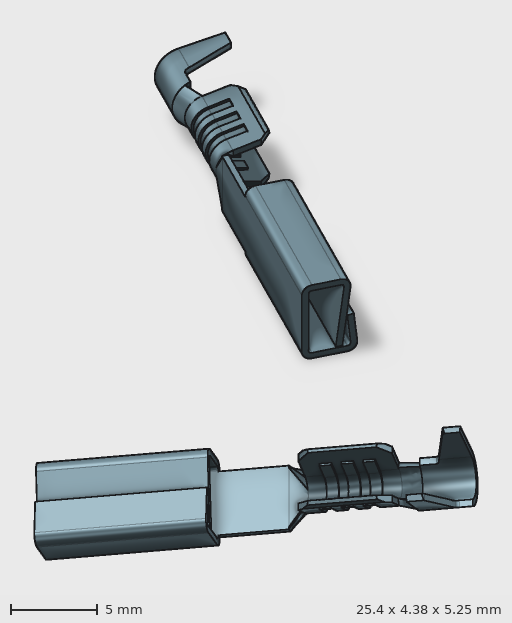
import cadquery as cq
import math

SHEET = 0.4

INSULATION_END = 3.18
WIRE_START = 4.32
WIRE_END = 9.88
PLATE_START = 11.02
BOX_START = 15.21
LENGTH = 25.4

INSULATION_RADIUS = 1.73
INSULATION_BACK = -0.38
INSULATION_CENTRE = INSULATION_BACK + INSULATION_RADIUS
INSULATION_LEAN = 9.5
INSULATION_TOP = 4.0
UPPER_TIP_WIDTH = 1.02
UPPER_ROOT_WIDTH = 2.05
UPPER_TROUGH_TOP = 0.74
LOWER_TIP_WIDTH = 1.0
LOWER_ROOT_WIDTH = 2.24
LOWER_TROUGH_TOP = 0.85
TAPER_FILLET = 0.2

WIRE_RADIUS = 1.35
WIRE_CENTRE = WIRE_RADIUS
WIRE_LEAN = 13.0
WIRE_TOP = 3.53
WING_CORNER = 0.75
BEVEL_LENGTH = 0.33
BEVEL_DEPTH = 0.15
GROOVE_COUNT = 3
GROOVE_FIRST = 5.44
GROOVE_WIDTH = 0.7
GROOVE_PITCH = 1.3
GROOVE_DEPTH = 0.15
GROOVE_TOP = 2.35

NECK_LOW_OUTER_TOP = 0.4
NECK_LOW_INNER_TOP = 0.65
NECK_HIGH_OUTER_TOP = 1.07
NECK_HIGH_INNER_TOP = 1.32
TRANSITION_TOP = 1.07
PLATE_HALF_WIDTH = 1.95
FACET_ARC_HALF_WIDTH = 0.35
FACET_CORNER = 0.13

BOX_HALF_WIDTH = 5.25 / 2
BEND_RADIUS = 0.6
INNER_FLAP_BEND = 2.35
INNER_FLAP_LEAN = 7.0
INNER_FLAP_END = -2.15
OUTER_FLAP_BEND = 2.77
OUTER_FLAP_LEAN = 6.0
OUTER_FLAP_END = 0.0


def cross_section(x):
    """Workplane across the part at x; its local axes are Y and Z."""
    return cq.Workplane("YZ", origin=(x, 0, 0))


def mirror_z(point):
    return (point[0], -point[1])


def u_channel(x_start, x_end, centre, radius, thickness, lean, top, bevel=(0, 0)):
    """U-shaped channel whose straight wings lean outward and end square at height top.

    bevel holds the length and depth taken off the outer face of each wing tip.
    """
    sin_lean = math.sin(math.radians(lean))
    cos_lean = math.cos(math.radians(lean))
    inner_radius = radius - thickness
    wing_length = (top - centre + inner_radius * sin_lean) / cos_lean
    bevel_length, bevel_depth = bevel

    def wing_point(along, depth):
        reach = radius - depth
        return (
            centre - reach * sin_lean + along * cos_lean,
            reach * cos_lean + along * sin_lean,
        )

    outer_root = wing_point(0, 0)
    outer_shoulder = wing_point(wing_length - bevel_length, 0)
    outer_tip = wing_point(wing_length, bevel_depth)
    inner_tip = wing_point(wing_length, thickness)
    inner_root = wing_point(0, thickness)

    outline = cross_section(x_start).moveTo(*outer_root)
    outline = outline.threePointArc((centre - radius, 0), mirror_z(outer_root))
    outline = outline.lineTo(*mirror_z(outer_shoulder))
    if bevel_depth > 0:
        outline = outline.lineTo(*mirror_z(outer_tip))
    outline = outline.lineTo(*mirror_z(inner_tip)).lineTo(*mirror_z(inner_root))
    outline = outline.threePointArc((centre - inner_radius, 0), inner_root)
    outline = outline.lineTo(*inner_tip).lineTo(*outer_tip)
    if bevel_depth > 0:
        outline = outline.lineTo(*outer_shoulder)
    return outline.close().extrude(x_end - x_start)


def side_outline(points, z_start, z_end):
    """Prism with an outline in X and Y, used to trim the wings of a channel."""
    return cq.Workplane("XY", origin=(0, 0, z_start)).polyline(points).close().extrude(z_end - z_start)


def tapered_wing(tip_width, root_width, trough_top):
    """Trimming prism of an upper half channel: a wing at X = 0 that tapers to a low trough."""
    tip = (tip_width, INSULATION_TOP)
    root = (root_width, trough_top)
    outline = [
        (0, INSULATION_BACK),
        (0, INSULATION_TOP),
        tip,
        root,
        (INSULATION_END, trough_top),
        (INSULATION_END, INSULATION_BACK),
    ]
    prism = side_outline(outline, 0, BOX_HALF_WIDTH)
    for corner in (tip, root):
        corner_edge = cq.selectors.NearestToPointSelector((*corner, BOX_HALF_WIDTH / 2))
        prism = prism.edges(corner_edge).fillet(TAPER_FILLET)
    return prism


def insulation_crimp():
    channel = u_channel(
        0, INSULATION_END, INSULATION_CENTRE, INSULATION_RADIUS, SHEET, INSULATION_LEAN, INSULATION_TOP
    )
    upper_wing = tapered_wing(UPPER_TIP_WIDTH, UPPER_ROOT_WIDTH, UPPER_TROUGH_TOP)
    lower_wing = tapered_wing(LOWER_TIP_WIDTH, LOWER_ROOT_WIDTH, LOWER_TROUGH_TOP)
    lower_wing = lower_wing.rotate((0, 0, 0), (0, 1, 0), 180).translate((INSULATION_END, 0, 0))
    return channel.intersect(upper_wing).union(channel.intersect(lower_wing))


def wire_crimp():
    channel = u_channel(
        WIRE_START, WIRE_END, WIRE_CENTRE, WIRE_RADIUS, SHEET, WIRE_LEAN, WIRE_TOP,
        bevel=(BEVEL_LENGTH, BEVEL_DEPTH),
    )
    clipped_corners = [
        (WIRE_START, 0),
        (WIRE_START, WIRE_TOP - WING_CORNER),
        (WIRE_START + WING_CORNER, WIRE_TOP),
        (WIRE_END - WING_CORNER, WIRE_TOP),
        (WIRE_END, WIRE_TOP - WING_CORNER),
        (WIRE_END, 0),
    ]
    crimp = channel.intersect(side_outline(clipped_corners, -BOX_HALF_WIDTH, BOX_HALF_WIDTH))
    for index in range(GROOVE_COUNT):
        start = GROOVE_FIRST + index * GROOVE_PITCH
        end = start + GROOVE_WIDTH
        groove = u_channel(start, end, WIRE_CENTRE, WIRE_RADIUS, GROOVE_DEPTH, WIRE_LEAN, GROOVE_TOP)
        rib = u_channel(
            start, end, WIRE_CENTRE, WIRE_RADIUS - SHEET, GROOVE_DEPTH, WIRE_LEAN, GROOVE_TOP
        )
        crimp = crimp.cut(groove).union(rib)
    return crimp


def arc_point(centre, radius, half_width):
    """Point on the back of a circle, half_width away from the middle plane."""
    return (centre - math.sqrt(radius**2 - half_width**2), half_width)


def half_width_at(centre, radius, height):
    return math.sqrt(radius**2 - (centre - height) ** 2)


def trough_wire(x, centre, radius, outer_top, inner_top):
    """Closed outline of a curved trough whose outer and inner arcs end at their own heights."""
    inner_radius = radius - SHEET
    outer_end = (outer_top, half_width_at(centre, radius, outer_top))
    inner_end = (inner_top, half_width_at(centre, inner_radius, inner_top))
    outline = cross_section(x).moveTo(*outer_end)
    outline = outline.threePointArc((centre - radius, 0), mirror_z(outer_end))
    outline = outline.lineTo(*mirror_z(inner_end))
    outline = outline.threePointArc((centre - inner_radius, 0), inner_end)
    return outline.close().val()


def neck():
    low = trough_wire(
        INSULATION_END, INSULATION_CENTRE, INSULATION_RADIUS, NECK_LOW_OUTER_TOP, NECK_LOW_INNER_TOP
    )
    high = trough_wire(
        WIRE_START, WIRE_CENTRE, WIRE_RADIUS, NECK_HIGH_OUTER_TOP, NECK_HIGH_INNER_TOP
    )
    return cq.Workplane(cq.Solid.makeLoft([low, high], True))


def faceted_trough_wire(x):
    """Trough outline whose two arcs are each split in three, to match the plate end."""
    outline = cross_section(x)
    outer, inner = WIRE_RADIUS, WIRE_RADIUS - SHEET
    for radius, side in ((outer, 1), (inner, -1)):
        end_width = half_width_at(WIRE_CENTRE, radius, TRANSITION_TOP)
        middle_width = (end_width + FACET_ARC_HALF_WIDTH) / 2
        widths = [middle_width, FACET_ARC_HALF_WIDTH, 0, -FACET_ARC_HALF_WIDTH, -middle_width, -end_width]
        points = [arc_point(WIRE_CENTRE, radius, side * width) for width in widths]
        start = (TRANSITION_TOP, side * end_width)
        outline = outline.moveTo(*start) if side > 0 else outline.lineTo(*start)
        for through, end in zip(points[::2], points[1::2]):
            outline = outline.threePointArc(through, end)
    return outline.close().val()


def faceted_plate_wire(x):
    """Plate outline with a short stretch set off at each end of both faces."""
    facet = PLATE_HALF_WIDTH - FACET_CORNER
    widths = [PLATE_HALF_WIDTH, facet, -facet, -PLATE_HALF_WIDTH]
    outer_face = [(0, width) for width in widths]
    inner_face = [(SHEET, -width) for width in widths]
    return cross_section(x).polyline(outer_face + inner_face).close().val()


def transition():
    sections = [faceted_trough_wire(WIRE_END), faceted_plate_wire(PLATE_START)]
    return cq.Workplane(cq.Solid.makeLoft(sections, True))


def plate():
    outline = cross_section(PLATE_START).center(SHEET / 2, 0).rect(SHEET, 2 * PLATE_HALF_WIDTH)
    return outline.extrude(BOX_START - PLATE_START)


def box_half(side, flap_bend, lean, flap_end):
    """Half of the box: back, side wall and the flap folded past square by the lean angle.

    side is 1 for +Z and -1 for -Z; flap_end is the level of the flap's edge, counted toward side.
    """
    bend_level = BOX_HALF_WIDTH - BEND_RADIUS
    inner_bend = BEND_RADIUS - SHEET
    lean_angle = math.radians(lean)
    flap_length = (bend_level - BEND_RADIUS * math.sin(lean_angle) - flap_end) / math.cos(lean_angle)

    def on_bend(bend_centre, radius, angle):
        return (
            bend_centre + radius * math.cos(angle),
            side * (bend_level + radius * math.sin(angle)),
        )

    def flap_tip(radius):
        y, z = on_bend(flap_bend, radius, -lean_angle)
        return (y - flap_length * math.sin(lean_angle), z - side * flap_length * math.cos(lean_angle))

    back_middle = math.radians(135)
    flap_middle = (math.radians(90) - lean_angle) / 2
    outline = cross_section(BOX_START).moveTo(0, 0).lineTo(0, side * bend_level)
    outline = outline.threePointArc(
        on_bend(BEND_RADIUS, BEND_RADIUS, back_middle), (BEND_RADIUS, side * BOX_HALF_WIDTH)
    )
    outline = outline.lineTo(flap_bend, side * BOX_HALF_WIDTH)
    outline = outline.threePointArc(
        on_bend(flap_bend, BEND_RADIUS, flap_middle), on_bend(flap_bend, BEND_RADIUS, -lean_angle)
    )
    outline = outline.lineTo(*flap_tip(BEND_RADIUS)).lineTo(*flap_tip(inner_bend))
    outline = outline.lineTo(*on_bend(flap_bend, inner_bend, -lean_angle))
    outline = outline.threePointArc(
        on_bend(flap_bend, inner_bend, flap_middle), (flap_bend, side * (BOX_HALF_WIDTH - SHEET))
    )
    outline = outline.lineTo(BEND_RADIUS, side * (BOX_HALF_WIDTH - SHEET))
    outline = outline.threePointArc(
        on_bend(BEND_RADIUS, inner_bend, back_middle), (SHEET, side * bend_level)
    )
    return outline.lineTo(SHEET, 0).close().extrude(LENGTH - BOX_START)


def box():
    inner_flap_half = box_half(1, INNER_FLAP_BEND, INNER_FLAP_LEAN, INNER_FLAP_END)
    outer_flap_half = box_half(-1, OUTER_FLAP_BEND, OUTER_FLAP_LEAN, OUTER_FLAP_END)
    return inner_flap_half.union(outer_flap_half)


result = insulation_crimp()
for section in (neck(), wire_crimp(), transition(), plate(), box()):
    result = result.union(section)
result = result.clean()